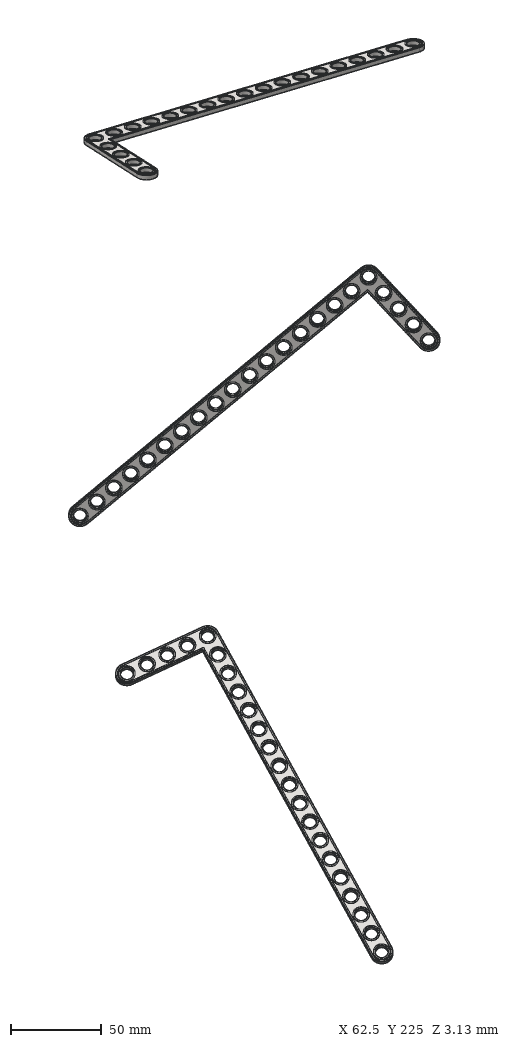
import cadquery as cq

pitch = 12.5
holes_along_x = 5
holes_along_y = 18
thickness = pitch / 4
hole_diameter = 7.0
ring_diameter = 9.2
recess_depth = 0.2
edge_chamfer = 0.3

half_width = pitch / 2
rim_width = (ring_diameter - hole_diameter) / 2
x_reach = (holes_along_x - 1) * pitch
y_reach = (holes_along_y - 1) * pitch

hole_centres = [(i * pitch, 0) for i in range(holes_along_x)]
hole_centres += [(0, i * pitch) for i in range(1, holes_along_y)]


def strip_prism(radius, height):
    """L-shaped prism lying within the given radius of the two hole lines."""
    return (
        cq.Workplane("XY")
        .moveTo(0, -radius)
        .lineTo(x_reach, -radius)
        .threePointArc((x_reach + radius, 0), (x_reach, radius))
        .lineTo(radius, radius)
        .lineTo(radius, y_reach)
        .threePointArc((0, y_reach + radius), (-radius, y_reach))
        .lineTo(-radius, 0)
        .radiusArc((0, -radius), -radius)
        .close()
        .extrude(height)
    )


def strip_blank():
    """Solid strip with its outline chamfered on both faces."""
    return strip_prism(half_width, thickness).faces("|Z").edges().chamfer(edge_chamfer)


def face_recess():
    """Material removed from one face: the area inside the rim, except the hole rings."""
    rings = cq.Workplane("XY").pushPoints(hole_centres).circle(ring_diameter / 2).extrude(recess_depth)
    return strip_prism(half_width - rim_width, recess_depth).cut(rings)


def hole_cutter():
    """Through hole with a chamfered mouth at each face, centred on the origin."""
    hole_radius = hole_diameter / 2
    mouth_radius = hole_radius + edge_chamfer
    return (
        cq.Workplane("XZ")
        .moveTo(0, 0)
        .lineTo(mouth_radius, 0)
        .lineTo(hole_radius, edge_chamfer)
        .lineTo(hole_radius, thickness - edge_chamfer)
        .lineTo(mouth_radius, thickness)
        .lineTo(0, thickness)
        .close()
        .revolve(360, (0, 0, 0), (0, 1, 0))
    )


recess = face_recess()
result = strip_blank().cut(recess).cut(recess.translate((0, 0, thickness - recess_depth)))

cutter = hole_cutter()
for x, y in hole_centres:
    result = result.cut(cutter.translate((x, y, 0)))